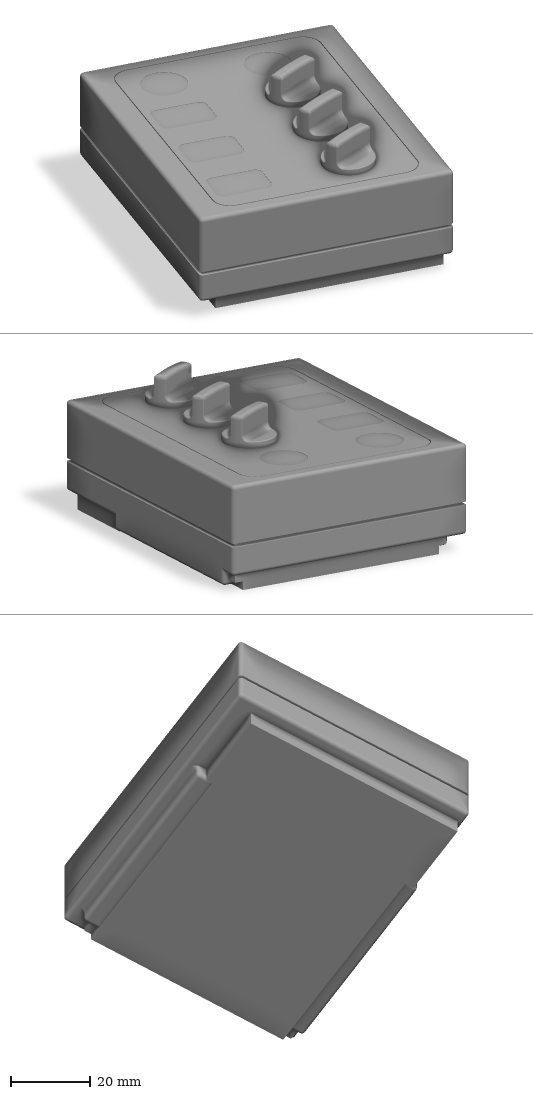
import cadquery as cq
import math


BOX_LENGTH = 83.0
BOX_WIDTH = 69.0
BOX_BOTTOM = 4.5
BOX_HEIGHT = 24.0
BOX_TOP = BOX_BOTTOM + BOX_HEIGHT
EDGE_RADIUS = 1.0

SEAM_BOTTOM = 12.2
SEAM_WIDTH = 1.0
SEAM_DEPTH = 1.0

PANEL_LENGTH = 76.0
PANEL_WIDTH = 56.0
PANEL_RADIUS = 5.0
PANEL_GROOVE_WIDTH = 0.3
PANEL_GROOVE_DEPTH = 0.3

KNOB_PITCH = 19.0
KNOB_COUNT = 3
KNOB_FIRST_COLUMN = -10.65
KNOB_COLUMNS = [KNOB_FIRST_COLUMN + KNOB_PITCH * index for index in range(KNOB_COUNT)]
KNOB_ROW = 11.35
BUTTON_DEPTH = 0.1
ROUND_BUTTON_DIAMETER = 12.2
ROUND_BUTTON_X = -27.7
ROUND_BUTTON_ROWS = [KNOB_ROW, -16.85]
KEY_LENGTH = 10.2
KEY_WIDTH = 15.2
KEY_RADIUS = 2.0
KEY_ROW = -18.3

KNOB_DIAMETER = 14.0
KNOB_HEIGHT = 8.7
KNOB_DISC_HEIGHT = 1.75
KNOB_DOME_RADIUS = 62.0
KNOB_RIM_RADIUS = 0.25
GRIP_THICKNESS = 3.4
GRIP_ROOT_RADIUS = 1.6
GRIP_TOP_RADIUS = 1.0
GRIP_ANGLE = 30.0

PLATE_LEFT = -40.0
PLATE_RIGHT = 38.0
PLATE_FRONT = -29.0
PLATE_BACK = 33.0
PLATE_HEIGHT = BOX_BOTTOM
SLOT_HEIGHT = 2.3
SLOT_DEPTH_FRONT = 2.0
SLOT_DEPTH_BACK = 2.4

RAIL_LEFT = -36.75
RAIL_RIGHT = 17.25
RAIL_BOTTOM = 0.7
RAIL_FRONT = -31.6
RAIL_BACK = BOX_WIDTH / 2
RAIL_LIP = 2.0
RAIL_RADIUS = 1.0
RAIL_ROOT_RADIUS = 1.3


def block(x_min, x_max, y_min, y_max, z_min, z_max):
    """Box between the given limits."""
    corner = cq.Vector(x_min, y_min, z_min)
    return cq.Workplane(cq.Solid.makeBox(x_max - x_min, y_max - y_min, z_max - z_min, corner))


def rounded_block(length, width, radius, bottom, height):
    """Upright block centred on Z, with its vertical edges rounded."""
    plan = cq.Workplane("XY").workplane(offset=bottom).rect(length, width)
    return plan.extrude(height).edges("|Z").fillet(radius)


def make_box():
    """Housing box with every outer edge rounded and a seam groove around its walls."""
    box = cq.Workplane("XY").workplane(offset=BOX_BOTTOM).rect(BOX_LENGTH, BOX_WIDTH)
    box = box.extrude(BOX_HEIGHT).edges().fillet(EDGE_RADIUS)
    seam = cq.Workplane("XY").workplane(offset=SEAM_BOTTOM).rect(BOX_LENGTH, BOX_WIDTH)
    seam = seam.rect(BOX_LENGTH - 2 * SEAM_DEPTH, BOX_WIDTH - 2 * SEAM_DEPTH)
    return box.cut(seam.extrude(SEAM_WIDTH))


def make_panel_groove():
    """Thin rounded frame that outlines the panel."""
    bottom = BOX_TOP - PANEL_GROOVE_DEPTH
    outer = rounded_block(PANEL_LENGTH, PANEL_WIDTH, PANEL_RADIUS, bottom, PANEL_GROOVE_DEPTH)
    inner = rounded_block(
        PANEL_LENGTH - 2 * PANEL_GROOVE_WIDTH,
        PANEL_WIDTH - 2 * PANEL_GROOVE_WIDTH,
        PANEL_RADIUS - PANEL_GROOVE_WIDTH,
        bottom,
        PANEL_GROOVE_DEPTH,
    )
    return outer.cut(inner)


def make_button_recesses():
    """Shallow recesses of the two round buttons and the three rounded keys."""
    bottom = BOX_TOP - BUTTON_DEPTH
    recesses = cq.Workplane("XY").workplane(offset=bottom)
    recesses = recesses.pushPoints([(ROUND_BUTTON_X, row) for row in ROUND_BUTTON_ROWS])
    recesses = recesses.circle(ROUND_BUTTON_DIAMETER / 2).extrude(BUTTON_DEPTH)
    key = rounded_block(KEY_LENGTH, KEY_WIDTH, KEY_RADIUS, bottom, BUTTON_DEPTH)
    for column in KNOB_COLUMNS:
        recesses = recesses.add(key.translate((column, KEY_ROW, 0)))
    return recesses


def make_knob():
    """Knob: a disc with a turned finger grip across its full diameter."""
    radius = KNOB_DIAMETER / 2
    half_grip = GRIP_THICKNESS / 2
    half_root = half_grip + GRIP_ROOT_RADIUS
    bend = GRIP_ROOT_RADIUS * (1 - math.sqrt(0.5))
    root_top = KNOB_DISC_HEIGHT + GRIP_ROOT_RADIUS
    profile = (
        cq.Workplane("XZ")
        .moveTo(-radius, 0)
        .lineTo(radius, 0)
        .lineTo(radius, KNOB_DISC_HEIGHT)
        .lineTo(half_root, KNOB_DISC_HEIGHT)
        .threePointArc((half_grip + bend, KNOB_DISC_HEIGHT + bend), (half_grip, root_top))
        .lineTo(half_grip, KNOB_HEIGHT)
        .lineTo(-half_grip, KNOB_HEIGHT)
        .lineTo(-half_grip, root_top)
        .threePointArc((-half_grip - bend, KNOB_DISC_HEIGHT + bend), (-half_root, KNOB_DISC_HEIGHT))
        .lineTo(-radius, KNOB_DISC_HEIGHT)
        .close()
        .extrude(radius, both=True)
    )
    sharp_knob = cq.Workplane("XY").circle(radius).extrude(KNOB_HEIGHT).intersect(profile)

    rim_rounded = sharp_knob.edges("not(|Y or <Z or >Z or >X)").fillet(KNOB_RIM_RADIUS)

    dome_centre = KNOB_HEIGHT - KNOB_DOME_RADIUS
    dome = cq.Workplane("XZ").sphere(KNOB_DOME_RADIUS).translate((0, 0, dome_centre))
    top_rounded = sharp_knob.intersect(dome).faces(">Z").edges().fillet(GRIP_TOP_RADIUS)

    knob = rim_rounded.intersect(top_rounded)
    return knob.rotate((0, 0, 0), (0, 0, 1), GRIP_ANGLE)


def make_rail(outer, inner_wall, side):
    """Hooked rail; side is +1 for the back rail and -1 for the front rail."""
    lip_edge = inner_wall - side * RAIL_LIP
    y_min, y_max = sorted((outer, lip_edge))
    rail = block(RAIL_LEFT, RAIL_RIGHT, y_min, y_max, RAIL_BOTTOM, BOX_BOTTOM + EDGE_RADIUS)
    outer_face = ">Y" if side > 0 else "<Y"
    rail = rail.faces(outer_face).edges("|Z").fillet(RAIL_RADIUS)
    inner_face = "<Y" if side > 0 else ">Y"
    rail = rail.faces("<Z").edges("not(" + inner_face + ")").fillet(RAIL_RADIUS)
    y_min, y_max = sorted((inner_wall, lip_edge))
    return rail.cut(block(RAIL_LEFT, RAIL_RIGHT, y_min, y_max, SLOT_HEIGHT, BOX_BOTTOM))


def make_rail_root():
    """Cove that joins the outer side of the front rail to the housing floor."""
    bend = RAIL_ROOT_RADIUS * (1 - math.sqrt(0.5))
    inner = RAIL_FRONT + RAIL_RADIUS
    bottom = BOX_BOTTOM - RAIL_ROOT_RADIUS
    cove = (
        cq.Workplane("YZ")
        .workplane(offset=RAIL_LEFT)
        .moveTo(inner, bottom)
        .lineTo(RAIL_FRONT, bottom)
        .threePointArc((RAIL_FRONT - bend, BOX_BOTTOM - bend), (RAIL_FRONT - RAIL_ROOT_RADIUS, BOX_BOTTOM))
        .lineTo(inner, BOX_BOTTOM)
        .close()
        .extrude(RAIL_RIGHT - RAIL_LEFT)
    )
    return cove.edges("%CIRCLE").fillet(RAIL_RADIUS)


def make_housing():
    """Housing with panel, knobs and rails in one piece."""
    housing = make_box().cut(make_panel_groove()).cut(make_button_recesses())
    knob = make_knob()
    for column in KNOB_COLUMNS:
        housing = housing.union(knob.translate((column, KNOB_ROW, BOX_TOP)))
    housing = housing.union(make_rail(RAIL_FRONT, PLATE_FRONT, -1)).union(make_rail_root())
    return housing.union(make_rail(RAIL_BACK, PLATE_BACK, 1))


def make_plate():
    """Mounting plate, slotted along both long sides to take the rail lips."""
    plate = block(PLATE_LEFT, PLATE_RIGHT, PLATE_FRONT, PLATE_BACK, 0, PLATE_HEIGHT)
    front_wall = PLATE_FRONT + SLOT_DEPTH_FRONT
    back_wall = PLATE_BACK - SLOT_DEPTH_BACK
    plate = plate.cut(block(PLATE_LEFT, RAIL_RIGHT, PLATE_FRONT, front_wall, 0, SLOT_HEIGHT))
    return plate.cut(block(PLATE_LEFT, RAIL_RIGHT, back_wall, PLATE_BACK, 0, SLOT_HEIGHT))


housing = make_housing()
plate = make_plate()

result = cq.Compound.makeCompound([housing.val(), plate.val()])